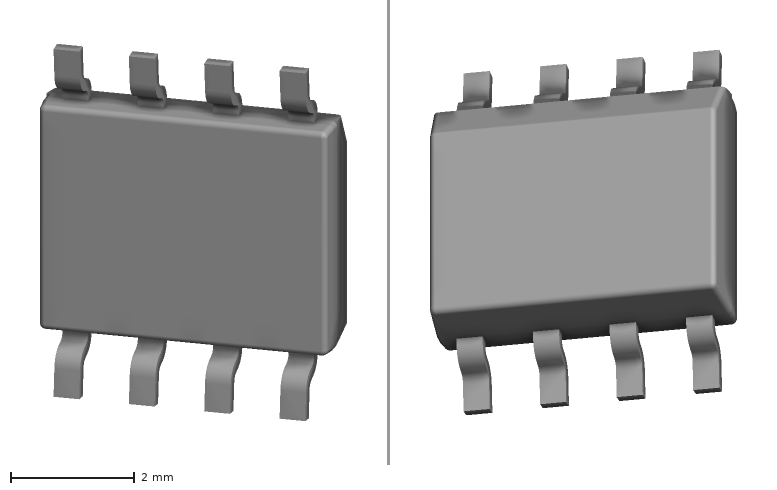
import cadquery as cq
import math


body_width = 4.9
body_length = 3.9
draft_angle = 5.0
edge_radius = 0.095

cover_height = 0.91
band_height = 0.205
base_height = 0.55

bevel_start = 0.42
bevel_top_z = 1.32

lead_count = 4
lead_pitch = 1.27
lead_width = 0.435
lead_thickness = band_height
lead_root_z = 1.805
stub_end_z = 2.035
lead_reach = 3.01
lead_drop = 0.73
bend_inner_radius = 0.14
leg_angle = math.radians(72)
foot_angle = math.radians(6)


def tapered_block(height):
    """Drafted block growing along +Y from the parting plane."""
    return (
        cq.Workplane("XZ")
        .rect(body_width, body_length)
        .extrude(-height, taper=draft_angle)
    )


def make_cover():
    block = tapered_block(cover_height)

    bevel_start_z = body_length / 2 - bevel_start * math.tan(math.radians(draft_angle))
    wedge = (
        cq.Workplane("YZ")
        .polyline([
            (bevel_start, bevel_start_z),
            (cover_height, bevel_top_z),
            (cover_height, bevel_start_z),
        ])
        .close()
        .extrude(body_width / 2, both=True)
    )
    block = block.cut(wedge)

    clearance = 0.005
    rounded = block.edges().filter(lambda edge: edge.Center().y > bevel_start + clearance)
    return rounded.fillet(edge_radius)


def make_lead():
    """One +Z lead centred on X = 0: stub, bend, leg, reverse bend and foot."""
    half = lead_thickness / 2
    bend_radius = bend_inner_radius + half

    first_bend = (-bend_radius * (1 - math.cos(leg_angle)), bend_radius * math.sin(leg_angle))
    second_bend = (
        -bend_radius * (math.cos(foot_angle) - math.cos(leg_angle)),
        bend_radius * (math.sin(leg_angle) - math.sin(foot_angle)),
    )
    bend_end = (-half + first_bend[0], stub_end_z + first_bend[1])
    tip = (-lead_drop + half * math.cos(foot_angle), lead_reach - half * math.sin(foot_angle))

    gap_y = bend_end[0] + second_bend[0] - tip[0]
    gap_z = tip[1] - bend_end[1] - second_bend[1]
    leg_length = (
        (gap_y * math.cos(foot_angle) - gap_z * math.sin(foot_angle))
        / math.sin(leg_angle - foot_angle)
    )
    leg_end = (
        bend_end[0] - leg_length * math.sin(leg_angle),
        bend_end[1] + leg_length * math.cos(leg_angle),
    )
    foot_start = (leg_end[0] + second_bend[0], leg_end[1] + second_bend[1])

    path = (
        cq.Workplane("YZ")
        .moveTo(-half, lead_root_z)
        .lineTo(-half, stub_end_z)
        .tangentArcPoint(bend_end, relative=False)
        .lineTo(*leg_end)
        .tangentArcPoint(foot_start, relative=False)
        .lineTo(*tip)
    )
    return (
        cq.Workplane("XY", origin=(0, -half, lead_root_z))
        .rect(lead_width, lead_thickness)
        .sweep(path)
    )


def make_base():
    lower = tapered_block(base_height - band_height).mirror("XZ")
    lower = lower.edges("(not #Y) and (not |X) and (not |Z)").fillet(edge_radius)
    lower = lower.faces("<Y").edges().fillet(edge_radius)

    base = lower.faces(">Y").wires().toPending().workplane().extrude(band_height)
    base = base.translate((0, -band_height, 0))

    lead = make_lead()
    for index in range(lead_count):
        x = (index - (lead_count - 1) / 2) * lead_pitch
        placed = lead.translate((x, 0, 0))
        base = base.union(placed).union(placed.mirror("XY"))
    return base


cover = make_cover()
base = make_base()

result = cq.Compound.makeCompound([cover.val(), base.val()])